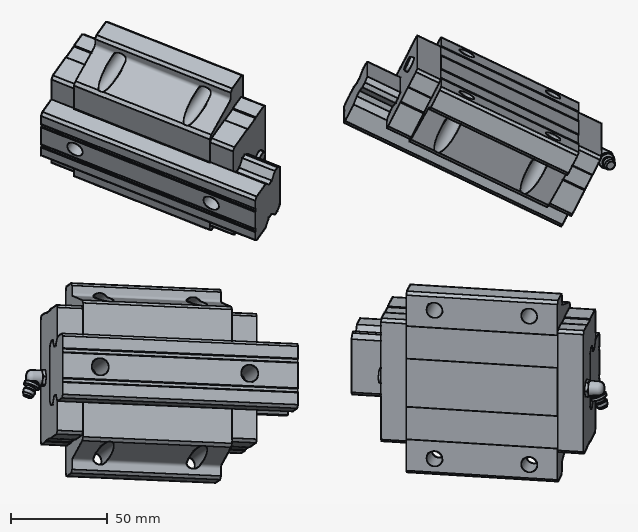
import cadquery as cq
import math


OVERALL_LENGTH = 137.0
OVERALL_HEIGHT = 48.0
OVERALL_WIDTH = 100.0

CARRIAGE_LENGTH = 106.5
CAP_LENGTH = 13.5
BLOCK_LENGTH = 79.6
BLOCK_BASE = 11.0
BLOCK_BASE_HALF_WIDTH = 35.2
BLOCK_BASE_CHAMFER = 1.8
FLANGE_UNDERSIDE = 34.2
FLANGE_CHAMFER = 1.6
FLANGE_ROOT_HALF_WIDTH = 43.0
FLANGE_ROOT_FILLET = 2.0
TOP_RELIEF_INNER = 13.3
TOP_RELIEF_OUTER = 31.2
TOP_RELIEF_DEPTH = 0.4

BOLT_DIAMETER = 8.4
BOLT_SPACING_X = 49.9
BOLT_SPACING_Z = 81.9

CAP_BASE = 11.5
CAP_TOP = 47.3
CAP_HALF_WIDTH = 34.0
CAP_CHAMFER = 1.6
CAP_RELIEF_BASE = 27.4
CAP_RELIEF_TOP = 36.7
CAP_RELIEF_DEPTH = 0.4

RAIL_HEIGHT = 27.5
RAIL_HALF_WIDTH = 17.0
RAIL_BASE_CHAMFER = 1.6
RAIL_WAIST_HALF_WIDTH = 12.9
RAIL_SHOULDER = 11.5
RAIL_WAIST_BASE = 15.2
RAIL_WAIST_TOP = 18.4
RAIL_HEAD_BASE = 21.8
RAIL_HEAD_TOP = 24.7
RAIL_TOP_HALF_WIDTH = 14.7
BASE_GROOVE_INNER = 6.6
BASE_GROOVE_OUTER = 9.0
BASE_GROOVE_DEPTH = 0.4
RAIL_HOLE_DIAMETER = 9.0
RAIL_HOLE_START = 20.0
RAIL_HOLE_PITCH = 79.8

FITTING_Y = 39.5
HEX_ACROSS_FLATS = 8.0
HEX_THICKNESS = 1.8
HEX_CORNER_CHAMFER = 0.5
ELBOW_DIAMETER = 8.0
ELBOW_LENGTH = 9.5
ELBOW_END_FILLET = 2.6
NOZZLE_ORIGIN_X = -4.9
NOZZLE_TILT = math.radians(22.5)
NECK_DIAMETER = 6.6
COLLAR_DIAMETER = 8.4
COLLAR_CONE_START = 3.2
COLLAR_START = 3.7
COLLAR_END = 5.2
COLLAR_CONE_END = 5.8
WAIST_DIAMETER = 5.5
HEAD_CONE_START = 7.0
HEAD_START = 7.7
HEAD_DIAMETER = 6.6
HEAD_SHOULDER = 9.7
HEAD_SHOULDER_DIAMETER = 5.8
TIP_DIAMETER = 4.4
NOZZLE_LENGTH = 10.8
PLUG_DIAMETER = 8.4
PLUG_LENGTH = 2.0

NOZZLE_REACH = (
    HEAD_SHOULDER * math.sin(NOZZLE_TILT) + HEAD_SHOULDER_DIAMETER / 2 * math.cos(NOZZLE_TILT)
)
RAIL_LENGTH = OVERALL_LENGTH - NOZZLE_REACH + NOZZLE_ORIGIN_X
BLOCK_END = CAP_LENGTH + BLOCK_LENGTH


def symmetric_prism(half_outline, start, length):
    """Extrude along X a (y, z) outline given on its +Z side and mirrored to -Z."""
    mirrored = [(y, -z) for y, z in reversed(half_outline)]
    return (
        cq.Workplane("YZ", origin=(start, 0, 0))
        .polyline(half_outline + mirrored)
        .close()
        .extrude(length)
    )


def upright_cylinder(x, z, diameter, height):
    """Cylinder along +Y, standing on the plane of the rail base."""
    return cq.Workplane("XZ", origin=(x, 0, z)).circle(diameter / 2).extrude(-height)


def rail_body(length):
    """Rail cross-section without its base grooves and bolt holes."""
    return symmetric_prism(
        [
            (0, RAIL_HALF_WIDTH - RAIL_BASE_CHAMFER),
            (RAIL_BASE_CHAMFER, RAIL_HALF_WIDTH),
            (RAIL_SHOULDER, RAIL_HALF_WIDTH),
            (RAIL_WAIST_BASE, RAIL_WAIST_HALF_WIDTH),
            (RAIL_WAIST_TOP, RAIL_WAIST_HALF_WIDTH),
            (RAIL_HEAD_BASE, RAIL_HALF_WIDTH),
            (RAIL_HEAD_TOP, RAIL_HALF_WIDTH),
            (RAIL_HEIGHT, RAIL_TOP_HALF_WIDTH),
        ],
        0,
        length,
    )


def base_groove(side):
    """Shallow groove with 45-degree flanks along the rail base; side is -1 or 1."""
    return (
        cq.Workplane("YZ")
        .polyline(
            [
                (0, side * BASE_GROOVE_INNER),
                (BASE_GROOVE_DEPTH, side * (BASE_GROOVE_INNER + BASE_GROOVE_DEPTH)),
                (BASE_GROOVE_DEPTH, side * (BASE_GROOVE_OUTER - BASE_GROOVE_DEPTH)),
                (0, side * BASE_GROOVE_OUTER),
            ]
        )
        .close()
        .extrude(RAIL_LENGTH)
    )


def make_rail():
    rail = rail_body(RAIL_LENGTH)
    for side in (-1, 1):
        rail = rail.cut(base_groove(side))
    for hole_x in (RAIL_HOLE_START, RAIL_HOLE_START + RAIL_HOLE_PITCH):
        rail = rail.cut(upright_cylinder(hole_x, 0, RAIL_HOLE_DIAMETER, RAIL_HEIGHT))
    return rail


def make_block():
    half_width = OVERALL_WIDTH / 2
    relief_floor = OVERALL_HEIGHT - TOP_RELIEF_DEPTH
    block = symmetric_prism(
        [
            (BLOCK_BASE, BLOCK_BASE_HALF_WIDTH),
            (BLOCK_BASE + BLOCK_BASE_CHAMFER, BLOCK_BASE_HALF_WIDTH + BLOCK_BASE_CHAMFER),
            (FLANGE_UNDERSIDE, FLANGE_ROOT_HALF_WIDTH),
            (FLANGE_UNDERSIDE, half_width - FLANGE_CHAMFER),
            (FLANGE_UNDERSIDE + FLANGE_CHAMFER, half_width),
            (OVERALL_HEIGHT - FLANGE_CHAMFER, half_width),
            (OVERALL_HEIGHT, half_width - FLANGE_CHAMFER),
            (OVERALL_HEIGHT, TOP_RELIEF_OUTER),
            (relief_floor, TOP_RELIEF_OUTER),
            (relief_floor, TOP_RELIEF_INNER),
            (OVERALL_HEIGHT, TOP_RELIEF_INNER),
        ],
        CAP_LENGTH,
        BLOCK_LENGTH,
    )
    block_middle = CAP_LENGTH + BLOCK_LENGTH / 2
    for side in (-1, 1):
        root = (block_middle, FLANGE_UNDERSIDE, side * FLANGE_ROOT_HALF_WIDTH)
        block = block.edges(cq.selectors.NearestToPointSelector(root)).fillet(FLANGE_ROOT_FILLET)
    for x_side in (-1, 1):
        for z_side in (-1, 1):
            bolt_x = block_middle + x_side * BOLT_SPACING_X / 2
            bolt_z = z_side * BOLT_SPACING_Z / 2
            block = block.cut(upright_cylinder(bolt_x, bolt_z, BOLT_DIAMETER, OVERALL_HEIGHT))
    return block


def make_cap(start, length):
    relief_half_width = CAP_HALF_WIDTH - CAP_RELIEF_DEPTH
    return symmetric_prism(
        [
            (CAP_BASE, CAP_HALF_WIDTH - CAP_CHAMFER),
            (CAP_BASE + CAP_CHAMFER, CAP_HALF_WIDTH),
            (CAP_RELIEF_BASE, CAP_HALF_WIDTH),
            (CAP_RELIEF_BASE + CAP_RELIEF_DEPTH, relief_half_width),
            (CAP_RELIEF_TOP - CAP_RELIEF_DEPTH, relief_half_width),
            (CAP_RELIEF_TOP, CAP_HALF_WIDTH),
            (CAP_TOP - CAP_CHAMFER, CAP_HALF_WIDTH),
            (CAP_TOP, CAP_HALF_WIDTH - CAP_CHAMFER),
        ],
        start,
        length,
    )


def make_nozzle():
    """Stepped nozzle turned about an axis that tilts from -Z towards -X."""
    axis_plane = cq.Plane(
        origin=(NOZZLE_ORIGIN_X, FITTING_Y, 0),
        xDir=(math.cos(NOZZLE_TILT), 0, -math.sin(NOZZLE_TILT)),
        normal=(0, 1, 0),
    )
    return (
        cq.Workplane(axis_plane)
        .polyline(
            [
                (0, 0),
                (NECK_DIAMETER / 2, 0),
                (NECK_DIAMETER / 2, COLLAR_CONE_START),
                (COLLAR_DIAMETER / 2, COLLAR_START),
                (COLLAR_DIAMETER / 2, COLLAR_END),
                (WAIST_DIAMETER / 2, COLLAR_CONE_END),
                (WAIST_DIAMETER / 2, HEAD_CONE_START),
                (HEAD_DIAMETER / 2, HEAD_START),
                (HEAD_SHOULDER_DIAMETER / 2, HEAD_SHOULDER),
                (TIP_DIAMETER / 2, NOZZLE_LENGTH),
                (0, NOZZLE_LENGTH),
            ]
        )
        .close()
        .revolve(360, (0, 0), (0, 1))
    )


def make_fitting():
    face = cq.Workplane("YZ", origin=(0, FITTING_Y, 0))
    hex_across_corners = HEX_ACROSS_FLATS / math.cos(math.pi / 6)
    hexagon = face.polygon(6, hex_across_corners).extrude(-HEX_THICKNESS)
    corner_trim = face.circle(hex_across_corners / 2).extrude(-HEX_THICKNESS)
    hexagon = hexagon.intersect(corner_trim.faces("<X").chamfer(HEX_CORNER_CHAMFER))
    elbow = face.circle(ELBOW_DIAMETER / 2).extrude(-ELBOW_LENGTH)
    elbow = elbow.faces("<X").edges().fillet(ELBOW_END_FILLET)
    return hexagon.union(elbow).union(make_nozzle())


def make_plug():
    """Slice of a sphere centred on the end face of the carriage."""
    face = cq.Workplane("YZ", origin=(CARRIAGE_LENGTH, FITTING_Y, 0))
    slab = face.circle(PLUG_DIAMETER / 2).extrude(PLUG_LENGTH)
    return slab.intersect(face.sphere(PLUG_DIAMETER / 2))


def make_carriage():
    carriage = make_block()
    carriage = carriage.union(make_cap(0, CAP_LENGTH))
    carriage = carriage.union(make_cap(BLOCK_END, CARRIAGE_LENGTH - BLOCK_END))
    carriage = carriage.cut(rail_body(RAIL_LENGTH))
    return carriage.union(make_fitting()).union(make_plug())


rail = make_rail()
carriage = make_carriage()

result = cq.Compound.makeCompound([rail.val(), carriage.val()])